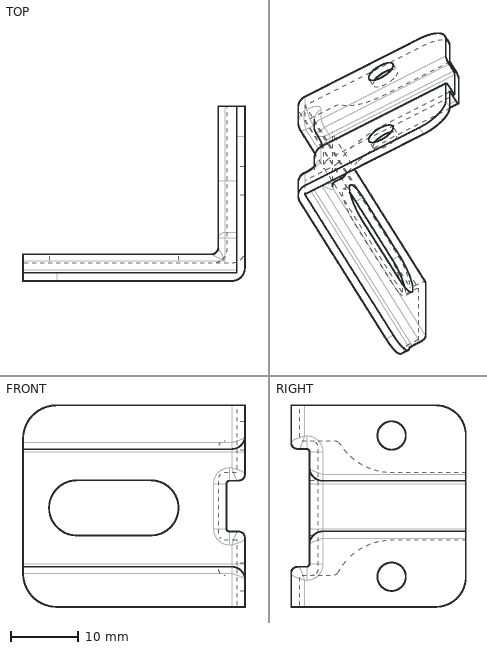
import cadquery as cq
import math

LENGTH = 33.0
DEPTH = 26.0
HEIGHT = 30.0

SHEET = 1.25
OFFSET = 2.75
RAISED = OFFSET + SHEET
FRONT_CHANNEL = 17.5
FRONT_Z = -0.25
SIDE_CHANNEL = 7.52
FRONT_HALF = FRONT_CHANNEL / 2 + SHEET
PANEL_TOP = FRONT_Z + FRONT_HALF
PANEL_BOTTOM = FRONT_Z - FRONT_HALF
SIDE_HALF = SIDE_CHANNEL / 2 + SHEET

FLARE_START = 14.95
FLARE_RADIUS = 9.08
FLARE_CORNER = 1.0

FRONT_CORNER = 5.0
SIDE_CORNER = 4.5
BEND = 1.98
STEP_ROUND = 1.0
STEP_FILLET = 0.43

HOLE_DIAMETER = 4.2
HOLE_Y = 14.95
HOLE_SPACING = 21.0

SLOT_LENGTH = 19.2
SLOT_WIDTH = 8.15
SLOT_X = 13.5

CLEARANCE = 0.33


def box(x0, x1, y0, y1, height):
    """Block between the given x and y limits, centred on z = 0."""
    block = cq.Workplane("XY").box(x1 - x0, y1 - y0, height, centered=(False, False, True))
    return block.translate((x0, y0, 0))


def edge_near(x, y, z):
    """Selector for the edge whose centre is closest to a point."""
    return cq.selectors.NearestToPointSelector((x, y, z))


def front_strip():
    plate = box(0, LENGTH, 0, SHEET, HEIGHT)
    return plate.edges("|Y and <X").fillet(FRONT_CORNER)


def side_strip():
    plate = box(LENGTH - SHEET, LENGTH, 0, DEPTH, HEIGHT)
    return plate.edges("|X and >Y").fillet(SIDE_CORNER)


def flare_half(side, edge):
    """Half of the side panel outline, on side +1 or -1, widening to height edge at the corner."""
    rise = abs(edge) - SIDE_HALF
    angle = math.acos(1 - rise / FLARE_RADIUS)
    flare_end = FLARE_START - FLARE_RADIUS * math.sin(angle)
    mid_y = FLARE_START - FLARE_RADIUS * math.sin(angle / 2)
    mid_z = SIDE_HALF + FLARE_RADIUS * (1 - math.cos(angle / 2))
    half = (
        cq.Workplane("YZ", origin=(LENGTH - RAISED, 0, 0))
        .moveTo(DEPTH, 0)
        .lineTo(DEPTH, side * SIDE_HALF)
        .lineTo(FLARE_START, side * SIDE_HALF)
        .threePointArc((mid_y, side * mid_z), (flare_end, edge))
        .lineTo(0, edge)
        .lineTo(0, 0)
        .close()
        .extrude(RAISED)
    )
    corner = edge_near(LENGTH - RAISED / 2, flare_end, edge)
    return half.edges(corner).fillet(FLARE_CORNER)


def raised_panels():
    """Both raised panels as one solid, with rounded rims and inner bend."""
    panels = box(0, LENGTH, SHEET, RAISED, 2 * FRONT_HALF).translate((0, 0, FRONT_Z))
    panels = panels.union(flare_half(1, PANEL_TOP)).union(flare_half(-1, PANEL_BOTTOM)).clean()
    for side, edge in ((1, PANEL_TOP), (-1, PANEL_BOTTOM)):
        front_rim = edge_near((LENGTH - RAISED) / 2, RAISED, edge)
        side_rim = edge_near(LENGTH - RAISED, (FLARE_START + DEPTH) / 2, side * SIDE_HALF)
        panels = panels.edges(cq.selectors.SumSelector(front_rim, side_rim)).fillet(STEP_ROUND)
    return panels.edges(edge_near(LENGTH - RAISED, RAISED, 0)).fillet(STEP_ROUND)


def front_channel():
    """Channel removed from the outside of the front leg, with a rounded floor."""
    channel = box(-CLEARANCE, LENGTH + CLEARANCE, -CLEARANCE, OFFSET, FRONT_CHANNEL)
    return channel.translate((0, 0, FRONT_Z)).edges("|X and >Y").fillet(STEP_FILLET)


def side_channel():
    """Channel removed from the outside of the side leg, with a rounded floor."""
    channel = box(LENGTH - OFFSET, LENGTH + CLEARANCE, -CLEARANCE, DEPTH + CLEARANCE, SIDE_CHANNEL)
    return channel.edges("|Y and <X").fillet(STEP_FILLET)


def round_channel_rims(bracket):
    """Round the outer rims of both channels."""
    side_mid_y = (OFFSET + DEPTH) / 2
    for side in (1, -1):
        front_rim = edge_near(LENGTH / 2, 0, FRONT_Z + side * FRONT_CHANNEL / 2)
        side_rim = edge_near(LENGTH, side_mid_y, side * SIDE_CHANNEL / 2)
        bracket = bracket.edges(front_rim).fillet(STEP_ROUND)
        bracket = bracket.edges(side_rim).fillet(STEP_ROUND)
    return bracket


def mounting_holes():
    centres = [(HOLE_Y, HOLE_SPACING / 2), (HOLE_Y, -HOLE_SPACING / 2)]
    plane = cq.Workplane("YZ", origin=(LENGTH - RAISED, 0, 0))
    return plane.pushPoints(centres).circle(HOLE_DIAMETER / 2).extrude(RAISED + CLEARANCE)


def slot():
    plane = cq.Workplane("XZ", origin=(SLOT_X, 0, FRONT_Z))
    return plane.slot2D(SLOT_LENGTH, SLOT_WIDTH).extrude(-(RAISED + CLEARANCE))


body = front_strip().union(side_strip()).union(raised_panels())
for edge in (PANEL_TOP, PANEL_BOTTOM):
    panel_root = edge_near((LENGTH - RAISED) / 2, SHEET, edge)
    body = body.edges(panel_root).fillet(STEP_FILLET)

body = body.cut(front_channel()).cut(side_channel())
body = round_channel_rims(body)

corner_top = edge_near(LENGTH, 0, (PANEL_TOP + HEIGHT / 2) / 2)
body = body.edges(corner_top).fillet(BEND)

result = body.cut(mounting_holes()).cut(slot())